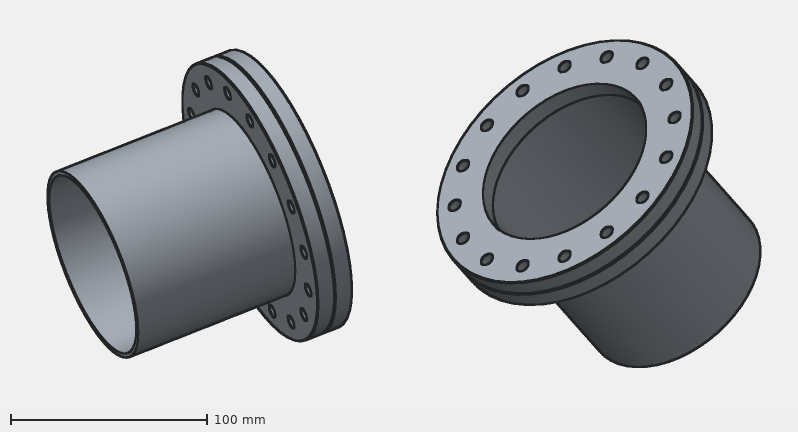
import cadquery as cq

TUBE_OUTER_D = 101.6
TUBE_INNER_D = 97.0

FLANGE_D = 151.6
FLANGE_THICKNESS = 20.0
FLANGE_BORE_D = 96.8
SOCKET_D = 101.9
SOCKET_DEPTH = FLANGE_THICKNESS / 2
RIM_CHAMFER = 0.5

RIM_GROOVE_RADIUS = 0.5

BOLT_COUNT = 16
BOLT_CIRCLE_D = 130.2
BOLT_HOLE_D = 6.65
BOLT_HOLE_CHAMFER = 0.25

TOTAL_LENGTH = 109.7
FLANGE_FRONT_Y = -FLANGE_THICKNESS
SOCKET_FLOOR_Y = FLANGE_FRONT_Y + SOCKET_DEPTH
TUBE_END_Y = -TOTAL_LENGTH


def cylinder(diameter, start_y, end_y):
    """Solid cylinder about the Y axis from start_y up to end_y."""
    start_plane = cq.Workplane("XZ", origin=(0, start_y, 0))
    return start_plane.circle(diameter / 2).extrude(start_y - end_y)


def ring(outer_d, inner_d, start_y, end_y):
    """Plain ring about the Y axis."""
    return cylinder(outer_d, start_y, end_y).cut(cylinder(inner_d, start_y, end_y))


def rim_groove():
    """Half-round ring of material removed around the middle of the flange rim."""
    rim_x = FLANGE_D / 2
    middle_y = FLANGE_FRONT_Y / 2
    profile = (
        cq.Workplane("XY")
        .moveTo(rim_x, middle_y - RIM_GROOVE_RADIUS)
        .threePointArc((rim_x - RIM_GROOVE_RADIUS, middle_y), (rim_x, middle_y + RIM_GROOVE_RADIUS))
        .close()
    )
    return profile.revolve(360, (0, 0, 0), (0, 1, 0))


def bolt_holes():
    """Through holes evenly spaced on the bolt circle."""
    return (
        cq.Workplane("XZ")
        .polarArray(BOLT_CIRCLE_D / 2, 0, 360, BOLT_COUNT)
        .circle(BOLT_HOLE_D / 2)
        .extrude(FLANGE_THICKNESS)
    )


def make_flange():
    """Bolted flange with a stepped bore, chamfered edges and rim groove."""
    disc = cylinder(FLANGE_D, FLANGE_FRONT_Y, 0).edges("%CIRCLE").chamfer(RIM_CHAMFER)
    bored = disc.cut(cylinder(FLANGE_BORE_D, FLANGE_FRONT_Y, 0))
    socketed = bored.cut(cylinder(SOCKET_D, FLANGE_FRONT_Y, SOCKET_FLOOR_Y))
    drilled = socketed.cut(bolt_holes())
    hole_mouths = drilled.edges(cq.selectors.RadiusNthSelector(0))
    return hole_mouths.chamfer(BOLT_HOLE_CHAMFER).cut(rim_groove())


def make_tube():
    """Thin-walled tube seated on the socket floor of the flange."""
    return ring(TUBE_OUTER_D, TUBE_INNER_D, TUBE_END_Y, SOCKET_FLOOR_Y)


flange = make_flange()
tube = make_tube()
result = cq.Compound.makeCompound([flange.val(), tube.val()])